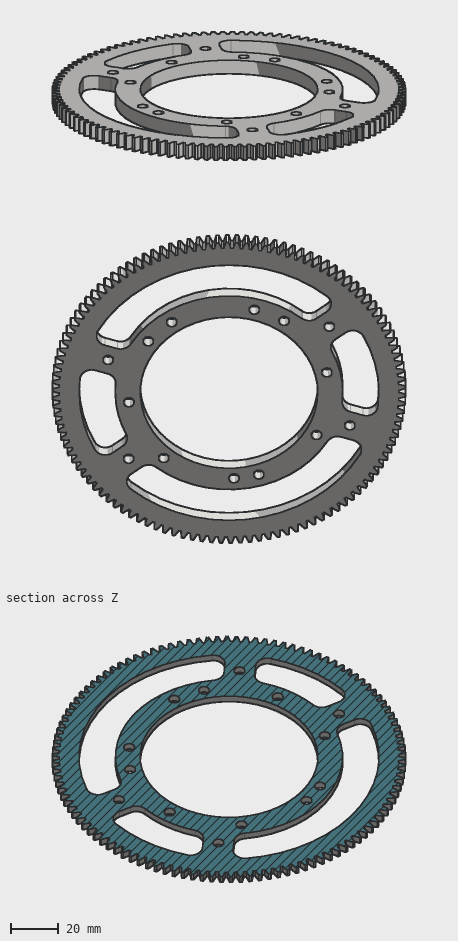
import cadquery as cq
import math

outer_diameter = 147.3
thickness = 6.0
bore_diameter = 74.0

tooth_count = 114
pressure_angle = math.radians(20)
module = outer_diameter / (tooth_count + 2)
dedendum = 1.25 * module
tip_radius = outer_diameter / 2
pitch_radius = module * tooth_count / 2
root_radius = pitch_radius - dedendum
base_radius = pitch_radius * math.cos(pressure_angle)
tooth_step = 2 * math.pi / tooth_count
first_tooth_angle = math.pi / 2

slot_inner_radius = 47.5
slot_outer_radius = 62.5
slot_corner_radius = 4.9
web_angle = 27.7
web_width = 13.0

hole_diameter = 4.3
web_hole_circle_radius = 52.9
inner_hole_circle_radius = 42.0
hole_spacing_angle = 43.2
spaced_pair_count = 4
extra_hole_angle = 24.6
inner_hole_angles = [hole_spacing_angle * i for i in range(1, spaced_pair_count + 1)]
inner_hole_angles.append(extra_hole_angle)


def polar(radius, angle):
    return (radius * math.cos(angle), radius * math.sin(angle))


def involute(angle):
    return math.tan(angle) - angle


def tooth_half_angle(radius):
    """Half of the angle that one involute tooth spans at the given radius."""
    flank_angle = math.acos(base_radius / radius)
    return tooth_step / 4 + involute(pressure_angle) - involute(flank_angle)


def toothed_disc():
    root_half = tooth_half_angle(root_radius)
    pitch_half = tooth_half_angle(pitch_radius)
    tip_half = tooth_half_angle(tip_radius)
    outline = cq.Workplane("XY").moveTo(*polar(root_radius, first_tooth_angle - root_half))
    for i in range(tooth_count):
        middle = first_tooth_angle + i * tooth_step
        following = middle + tooth_step
        outline = (
            outline
            .threePointArc(polar(pitch_radius, middle - pitch_half), polar(tip_radius, middle - tip_half))
            .threePointArc(polar(tip_radius, middle), polar(tip_radius, middle + tip_half))
            .threePointArc(
                polar(pitch_radius, middle + pitch_half),
                polar(root_radius, middle + root_half),
            )
            .threePointArc(
                polar(root_radius, middle + tooth_step / 2),
                polar(root_radius, following - root_half),
            )
        )
    return outline.close().extrude(thickness)


def arc_slots():
    """An annulus split by two crossing bars, with the upright corners rounded."""
    slots = cq.Workplane("XY").circle(slot_outer_radius).circle(slot_inner_radius).extrude(thickness)
    for angle in (web_angle, -web_angle):
        bar = cq.Workplane("XY").rect(outer_diameter, web_width).extrude(thickness)
        slots = slots.cut(bar.rotate((0, 0, 0), (0, 0, 1), angle))
    return slots.edges("|Z").fillet(slot_corner_radius)


def holes(points):
    return cq.Workplane("XY").pushPoints(points).circle(hole_diameter / 2).extrude(thickness)


web_hole_points = [
    polar(web_hole_circle_radius, math.radians(angle))
    for angle in (web_angle, -web_angle, 180 - web_angle, 180 + web_angle)
]
inner_hole_points = [
    polar(inner_hole_circle_radius, math.pi / 2 + side * math.radians(angle))
    for angle in inner_hole_angles
    for side in (-1, 1)
]

bore = cq.Workplane("XY").circle(bore_diameter / 2).extrude(thickness)

result = (
    toothed_disc()
    .cut(bore)
    .cut(arc_slots())
    .cut(holes(web_hole_points))
    .cut(holes(inner_hole_points))
)